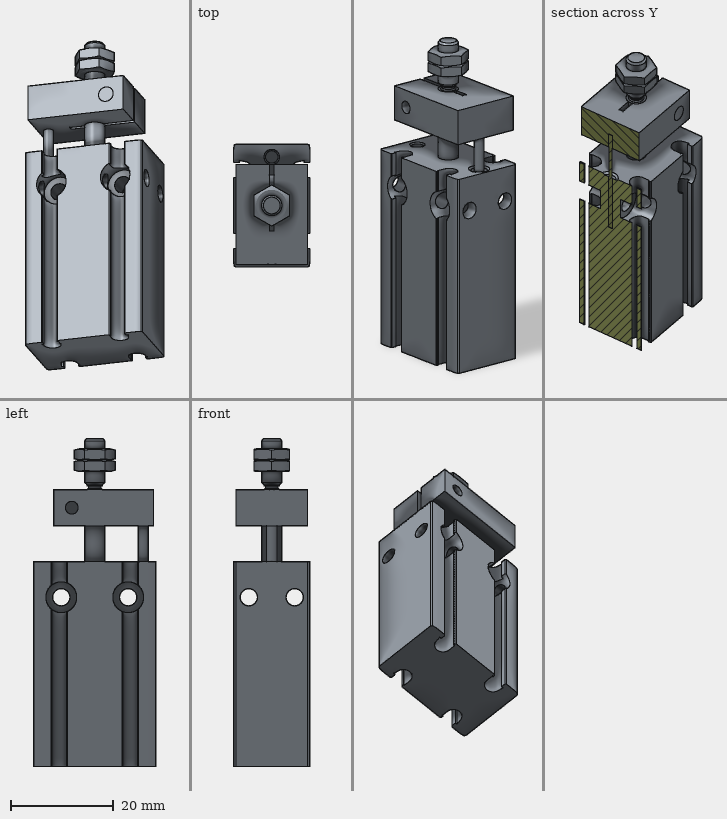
import cadquery as cq
import math

body_width = 15.0
body_depth = 24.0
body_height = 40.0
corner_chamfer_x = 0.3
corner_chamfer_y = 0.2
side_round_radius = 5.0
side_round_length = 1.3

groove_offset = 6.9
groove_mouth = 2.9
groove_inner_lip = 0.6
groove_outer_lip = 1.15
groove_lip_chamfer = 0.2
groove_diameter = 3.3
undercut_angle = 10.0
groove_centre_depth = 2.05

mount_height = 33.0
mount_diameter = 3.3
side_hole_offset = 6.5
counterbore_diameter = 6.0
counterbore_depth = 5.0
front_hole_offset = 4.5

guide_offset = 9.5
top_hole_diameter = 2.4
top_hole_mouth = 3.0
top_hole_depth = 6.0
guide_mouth = 4.15
guide_seat = 3.25
guide_seat_depth = 0.3

plate_width = 14.0
plate_depth = 19.5
plate_height = 7.05
plate_bottom = 47.0
plate_front_setback = 0.5
slit_width = 0.95
slit_front = -5.0

screw_offset = 4.5
screw_diameter = 3.0
screw_tip = -3.2
screw_access_diameter = 2.5

rod_diameter = 4.0
rod_top = 64.0
rod_tip_diameter = 3.25
rod_tip_height = 0.45
neck_diameter = 2.5
neck_base_diameter = 3.0
thread_bottom = 55.4
neck_land = 0.2
rod_insertion = 12.8

guide_diameter = 2.0
guide_insertion = 12.8
guide_engagement = 3.2

nut_across_flats = 7.0
nut_thickness = 2.25
nut_bevel_diameter = 6.0
nut_bevel_angle = 15.0
nut_stack_top = 62.0
nut_count = 2

half_width = body_width / 2
half_depth = body_depth / 2
plate_front = -half_depth + plate_front_setback
plate_back = plate_front + plate_depth
plate_top = plate_bottom + plate_height


def cylinder(diameter, bottom, top, y=0):
    """Vertical cylinder between two heights on the X = 0 plane."""
    return (
        cq.Workplane("XY", origin=(0, y, bottom))
        .circle(diameter / 2)
        .extrude(top - bottom)
    )


def cylinder_along_x(diameter, start, end, y, z):
    return (
        cq.Workplane("YZ", origin=(start, y, z))
        .circle(diameter / 2)
        .extrude(end - start)
    )


def cone(bottom_diameter, top_diameter, bottom, top, y=0):
    """Vertical truncated cone between two heights on the X = 0 plane."""
    return cq.Workplane(
        cq.Solid.makeCone(bottom_diameter / 2, top_diameter / 2, top - bottom, cq.Vector(0, y, bottom))
    )


def body_blank():
    """Prism with chamfered corners and gently rounded ends of the side faces."""
    def round_inset(run):
        return side_round_radius - math.sqrt(side_round_radius**2 - run**2)

    x_mid = half_width - round_inset(side_round_length / 2)
    x_end = half_width - round_inset(side_round_length)
    x_corner = x_end - corner_chamfer_x
    y_end = half_depth - corner_chamfer_y
    y_mid = y_end - side_round_length / 2
    y_start = y_end - side_round_length
    return (
        cq.Workplane("XY")
        .moveTo(-x_corner, -half_depth)
        .lineTo(x_corner, -half_depth)
        .lineTo(x_end, -y_end)
        .threePointArc((x_mid, -y_mid), (half_width, -y_start))
        .lineTo(half_width, y_start)
        .threePointArc((x_mid, y_mid), (x_end, y_end))
        .lineTo(x_corner, half_depth)
        .lineTo(-x_corner, half_depth)
        .lineTo(-x_end, y_end)
        .threePointArc((-x_mid, y_mid), (-half_width, y_start))
        .lineTo(-half_width, -y_start)
        .threePointArc((-x_mid, -y_mid), (-x_end, -y_end))
        .close()
        .extrude(body_height)
    )


def groove_cutter(x_side, y_side):
    """Round-floored groove with a chamfered mouth and both walls undercut below their lips.

    The wall nearer the rod is straight below its lip. The outer wall slopes back in.
    Both meet the round floor tangentially.
    """
    radius = groove_diameter / 2
    half_mouth = groove_mouth / 2
    half_flare = half_mouth + groove_lip_chamfer
    slope = math.radians(undercut_angle)
    tangent_depth = groove_centre_depth + radius * math.sin(slope)
    tangent_offset = radius * math.cos(slope)
    undercut_offset = tangent_offset + (tangent_depth - groove_outer_lip) * math.tan(slope)

    def point(depth, offset):
        """Point at a depth below the side face and an outward offset from the groove axis."""
        return (x_side * (half_width - depth), y_side * (groove_offset + offset))

    return (
        cq.Workplane("XY")
        .moveTo(*point(0, -half_flare))
        .lineTo(*point(groove_lip_chamfer, -half_mouth))
        .lineTo(*point(groove_inner_lip, -half_mouth))
        .lineTo(*point(groove_inner_lip, -radius))
        .lineTo(*point(groove_centre_depth, -radius))
        .threePointArc(point(groove_centre_depth + radius, 0), point(tangent_depth, tangent_offset))
        .lineTo(*point(groove_outer_lip, undercut_offset))
        .lineTo(*point(groove_outer_lip, half_mouth))
        .lineTo(*point(groove_lip_chamfer, half_mouth))
        .lineTo(*point(0, half_flare))
        .close()
        .extrude(body_height)
    )


def side_mount_cutter(y):
    """Through hole along X, counterbored from both side faces."""
    hole = cylinder_along_x(mount_diameter, -half_width, half_width, y, mount_height)
    for side in (-1, 1):
        face = side * half_width
        floor = face - side * counterbore_depth
        hole = hole.union(cylinder_along_x(counterbore_diameter, floor, face, y, mount_height))
    return hole


def front_mount_cutter(x):
    """Through hole along Y."""
    return (
        cq.Workplane("XZ", origin=(x, half_depth, mount_height))
        .circle(mount_diameter / 2)
        .extrude(body_depth)
    )


def make_body():
    body = body_blank()
    for x_side in (-1, 1):
        for y_side in (-1, 1):
            body = body.cut(groove_cutter(x_side, y_side))
    for y in (-side_hole_offset, side_hole_offset):
        body = body.cut(side_mount_cutter(y))
    for x in (-front_hole_offset, front_hole_offset):
        body = body.cut(front_mount_cutter(x))

    countersink_depth = (top_hole_mouth - top_hole_diameter) / 2
    countersink_bottom = body_height - countersink_depth
    body = body.cut(cylinder(top_hole_diameter, body_height - top_hole_depth, body_height, guide_offset))
    body = body.cut(cone(top_hole_diameter, top_hole_mouth, countersink_bottom, body_height, guide_offset))

    seat_bottom = body_height - guide_seat_depth
    body = body.cut(cone(guide_seat, guide_mouth, seat_bottom, body_height, -guide_offset))
    body = body.cut(cylinder(guide_diameter, body_height - guide_insertion, body_height, -guide_offset))

    return body.cut(cylinder(rod_diameter, body_height - rod_insertion, body_height))


def make_plate():
    plate = (
        cq.Workplane("XY", origin=(0, (plate_front + plate_back) / 2, plate_bottom))
        .rect(plate_width, plate_depth)
        .extrude(plate_height)
    )
    slit = (
        cq.Workplane("XY", origin=(0, (slit_front + plate_back) / 2, plate_bottom))
        .rect(slit_width, plate_back - slit_front)
        .extrude(plate_height)
    )
    access = cylinder_along_x(screw_access_diameter, -plate_width / 2, screw_tip, screw_offset, screw_height)
    guide_socket = cylinder(guide_diameter, plate_bottom, plate_bottom + guide_engagement, -guide_offset)
    return (
        plate.cut(slit)
        .cut(cylinder(rod_diameter, plate_bottom, plate_top))
        .cut(guide_socket)
        .cut(access)
        .cut(make_clamp_screw())
    )


screw_height = plate_bottom + plate_height / 2


def make_clamp_screw():
    """Headless screw, flush with the +X face of the plate."""
    return cylinder_along_x(screw_diameter, screw_tip, plate_width / 2, screw_offset, screw_height)


def make_piston_rod():
    """Turned rod: plain shank, necked shoulder at the plate and threaded tip."""
    radius = rod_diameter / 2
    neck_radius = neck_diameter / 2
    neck_base_radius = neck_base_diameter / 2
    neck_start = plate_top + neck_base_radius - neck_radius
    cone_end = thread_bottom - (radius - neck_base_radius)
    return (
        cq.Workplane("XZ")
        .moveTo(0, body_height - rod_insertion)
        .lineTo(radius, body_height - rod_insertion)
        .lineTo(radius, plate_top)
        .lineTo(neck_base_radius, plate_top)
        .lineTo(neck_radius, neck_start)
        .lineTo(neck_radius, cone_end - neck_land)
        .lineTo(neck_base_radius, cone_end - neck_land)
        .lineTo(neck_base_radius, cone_end)
        .lineTo(radius, thread_bottom)
        .lineTo(radius, rod_top - rod_tip_height)
        .lineTo(rod_tip_diameter / 2, rod_top)
        .lineTo(0, rod_top)
        .close()
        .revolve(360, (0, 0), (0, 1))
    )


def make_guide_rod():
    return cylinder(
        guide_diameter,
        body_height - guide_insertion,
        plate_bottom + guide_engagement,
        -guide_offset,
    )


def make_nut(bottom):
    """Hexagon nut with corners on the Y axis, bevelled on both faces."""
    across_corners = nut_across_flats / math.cos(math.pi / 6)
    bevel_radius = nut_bevel_diameter / 2
    corner_radius = across_corners / 2
    bevel_drop = (corner_radius - bevel_radius) * math.tan(math.radians(nut_bevel_angle))
    top = bottom + nut_thickness
    hexagon = (
        cq.Workplane("XY", origin=(0, 0, bottom))
        .polygon(6, across_corners)
        .extrude(nut_thickness)
        .rotate((0, 0, 0), (0, 0, 1), 30)
    )
    bevel_envelope = (
        cq.Workplane("XZ")
        .moveTo(0, bottom)
        .lineTo(bevel_radius, bottom)
        .lineTo(corner_radius, bottom + bevel_drop)
        .lineTo(corner_radius, top - bevel_drop)
        .lineTo(bevel_radius, top)
        .lineTo(0, top)
        .close()
        .revolve(360, (0, 0), (0, 1))
    )
    return hexagon.intersect(bevel_envelope).cut(cylinder(rod_diameter, bottom, top))


body = make_body()
plate = make_plate()
clamp_screw = make_clamp_screw()
piston_rod = make_piston_rod()
guide_rod = make_guide_rod()
nuts = [make_nut(nut_stack_top - (index + 1) * nut_thickness) for index in range(nut_count)]

result = cq.Compound.makeCompound([
    body.val(),
    plate.val(),
    clamp_screw.val(),
    piston_rod.val(),
    guide_rod.val(),
    *[nut.val() for nut in nuts],
])